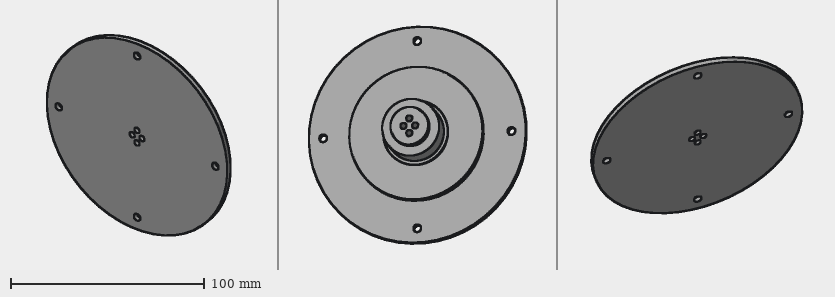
import cadquery as cq

disc_diameter = 114.0
disc_thickness = 3.2
total_depth = 25.6
plate_diameter = 70.0
plate_thickness = 4.0
collar_diameter = 34.0
collar_thickness = 1.0
hub_diameter = 30.0
spigot_diameter = 19.8
spigot_length = 4.0
hub_length = total_depth - disc_thickness - plate_thickness - collar_thickness - spigot_length

rim_hole_diameter = 4.0
rim_hole_radius = 49.5
center_hole_diameter = 3.2
center_hole_offset_x = 3.1
center_hole_offset_z = 3.9


def cylinder(diameter, start_y, length, x=0, z=0):
    """Cylinder along +Y, starting at start_y."""
    return cq.Workplane(
        cq.Solid.makeCylinder(diameter / 2, length, cq.Vector(x, start_y, z), cq.Vector(0, 1, 0))
    )


def stepped_body():
    """Disc, plate, collar, hub and spigot on one axis."""
    steps = [
        (plate_diameter, plate_thickness),
        (collar_diameter, collar_thickness),
        (hub_diameter, hub_length),
        (spigot_diameter, spigot_length),
    ]
    body = cylinder(disc_diameter, 0, disc_thickness)
    start_y = disc_thickness
    for diameter, length in steps:
        body = body.union(cylinder(diameter, start_y, length))
        start_y += length
    return body


def cut_cross_holes(body, diameter, offset_x, offset_z):
    """Cut four through holes, two on the X axis and two on the Z axis."""
    for side in (-1, 1):
        body = body.cut(cylinder(diameter, 0, total_depth, x=side * offset_x))
        body = body.cut(cylinder(diameter, 0, total_depth, z=side * offset_z))
    return body


result = stepped_body()
result = cut_cross_holes(result, rim_hole_diameter, rim_hole_radius, rim_hole_radius)
result = cut_cross_holes(result, center_hole_diameter, center_hole_offset_x, center_hole_offset_z)